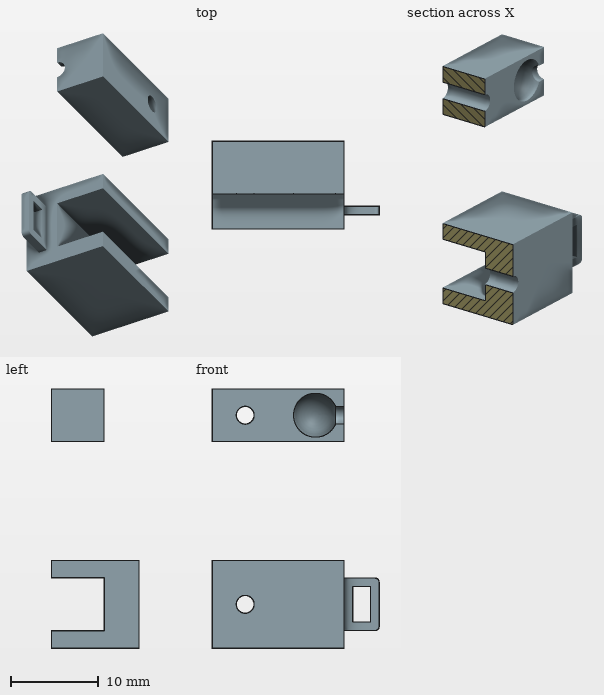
import cadquery as cq

housing_length = 15.0
housing_depth = 10.0
housing_height = 10.0
slot_depth = 6.0
slot_height = 6.0
web_depth = housing_depth - slot_depth
housing_mid_z = housing_height / 2

hole_diameter = 2.0
hole_x = 3.75

loop_reach = 4.0
loop_height = 6.0
loop_thickness = 1.0
loop_front_y = 1.61
loop_corner_radius = 0.5
window_length = 2.0
window_height = 4.0

overall_height = 29.51
insert_base_z = overall_height - slot_height
insert_mid_z = insert_base_z + slot_height / 2
insert_front_y = web_depth

socket_diameter = 5.0
socket_x = 11.75
groove_diameter = 2.0


def block(length, depth, height, x, y, z):
    """Box with its lowest corner at (x, y, z)."""
    return cq.Workplane("XY").box(length, depth, height, centered=False).translate((x, y, z))


def cross_hole(mid_z):
    """Cutter along Y for the cross hole at height mid_z."""
    return (
        cq.Workplane("XZ")
        .center(hole_x, mid_z)
        .circle(hole_diameter / 2)
        .extrude(-housing_depth)
    )


def make_loop():
    """Flat rectangular loop with rounded outer corners."""
    plate = block(
        loop_reach, loop_thickness, loop_height,
        housing_length, loop_front_y, housing_mid_z - loop_height / 2,
    )
    plate = plate.edges("|Y and >X").fillet(loop_corner_radius)
    window = block(
        window_length, loop_thickness, window_height,
        housing_length + (loop_reach - window_length) / 2,
        loop_front_y,
        housing_mid_z - window_height / 2,
    )
    return plate.cut(window)


def make_housing():
    """Slotted housing with its strap loop and cross hole."""
    body = block(housing_length, housing_depth, housing_height, 0, 0, 0)
    slot = block(
        housing_length, slot_depth, slot_height,
        0, web_depth, housing_mid_z - slot_height / 2,
    )
    return body.cut(slot).cut(cross_hole(housing_mid_z)).union(make_loop())


def make_insert():
    """Insert block with its cross hole, ball socket and cord groove."""
    body = block(housing_length, slot_depth, slot_height, 0, insert_front_y, insert_base_z)
    socket = (
        cq.Workplane("XZ", origin=(socket_x, insert_front_y, insert_mid_z))
        .sphere(socket_diameter / 2)
    )
    groove = (
        cq.Workplane("YZ", origin=(socket_x, insert_front_y, insert_mid_z))
        .circle(groove_diameter / 2)
        .extrude(housing_length - socket_x)
    )
    return body.cut(cross_hole(insert_mid_z)).cut(socket).cut(groove)


housing = make_housing()
insert = make_insert()

result = cq.Compound.makeCompound([housing.val(), insert.val()])